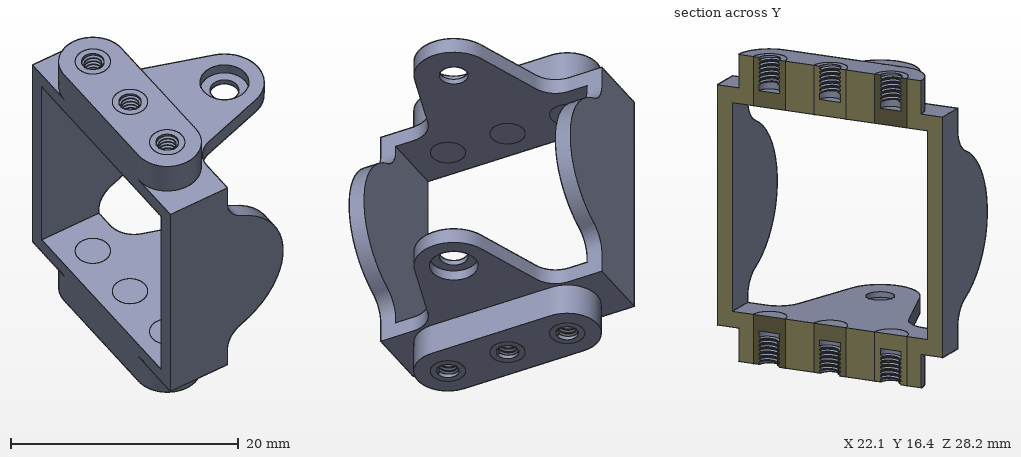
import cadquery as cq
import math


frame_width = 22.1
frame_depth = 6.0
wall = 1.5
opening = frame_width - 2 * wall
half_frame = frame_width / 2

total_height = 28.23
boss_height = (total_height - frame_width) / 2
insert_spacing = 5.95
boss_radius = frame_depth / 2

total_depth = 16.43
ear_radius = 3.5
ear_hole_y = total_depth - ear_radius
ear_base_half_width = insert_spacing
ear_hole_diameter = 2.55
counterbore_diameter = 4.3
counterbore_depth = 1.0
root_fillet = 2.5

cheek_reach = 5.85
cheek_radius = 7.42
cheek_center_y = frame_depth + cheek_reach - cheek_radius

insert_diameter = 3.1
insert_length = boss_height + wall
insert_y = frame_depth / 2
insert_columns = [-insert_spacing, 0, insert_spacing]
bore_depth = boss_height
thread_major_radius = 1.0
thread_minor_radius = 0.8
thread_pitch = 0.4
thread_turns = 6
ridge_embedding = 0.05
ridge_root_radius = thread_major_radius + ridge_embedding
ridge_root_width = 0.37
ridge_crest_width = 0.05


def extrude_along_z(sketch, bottom, height):
    return sketch.extrude(height).translate((0, 0, bottom))


def make_frame():
    return (
        cq.Workplane("XZ")
        .rect(frame_width, frame_width)
        .rect(opening, opening)
        .extrude(-frame_depth)
    )


def make_boss():
    """Rounded bar on the top wall, as deep as the frame and overlapping the wall."""
    outline = (
        cq.Workplane("XY")
        .center(0, insert_y)
        .slot2D(2 * (insert_spacing + boss_radius), 2 * boss_radius)
    )
    return extrude_along_z(outline, half_frame - wall, insert_length)


def make_ear():
    """Tapered ear level with the top wall, with a counterbored hole and filleted roots."""
    reach = ear_hole_y - frame_depth
    corner_distance = math.hypot(ear_base_half_width, reach)
    tangent_angle = math.acos(ear_radius / corner_distance) - math.atan2(reach, ear_base_half_width)
    tangent_x = ear_radius * math.cos(tangent_angle)
    tangent_y = ear_hole_y + ear_radius * math.sin(tangent_angle)

    fillet_offset = root_fillet * math.tan((math.pi / 2 - tangent_angle) / 2)
    fillet_center_x = ear_base_half_width + fillet_offset
    fillet_center_y = frame_depth + root_fillet
    fillet_end_x = fillet_center_x - root_fillet * math.cos(tangent_angle)
    fillet_end_y = fillet_center_y - root_fillet * math.sin(tangent_angle)
    middle_angle = (tangent_angle + math.pi / 2) / 2
    fillet_middle_x = fillet_center_x - root_fillet * math.cos(middle_angle)
    fillet_middle_y = fillet_center_y - root_fillet * math.sin(middle_angle)

    outline = (
        cq.Workplane("XY")
        .moveTo(fillet_center_x, frame_depth)
        .threePointArc((fillet_middle_x, fillet_middle_y), (fillet_end_x, fillet_end_y))
        .lineTo(tangent_x, tangent_y)
        .threePointArc((0, total_depth), (-tangent_x, tangent_y))
        .lineTo(-fillet_end_x, fillet_end_y)
        .threePointArc((-fillet_middle_x, fillet_middle_y), (-fillet_center_x, frame_depth))
        .close()
    )
    ear = extrude_along_z(outline, half_frame - wall, wall)
    return (
        ear.faces(">Z")
        .workplane(origin=(0, ear_hole_y, 0))
        .cboreHole(ear_hole_diameter, counterbore_diameter, counterbore_depth)
    )


def make_cheek():
    """Round cheek behind the +X side wall, with fillets running into the frame."""
    center_rise = frame_depth + root_fillet - cheek_center_y
    center_distance = cheek_radius + root_fillet
    fillet_center_z = math.sqrt(center_distance**2 - center_rise**2)
    fillet_center_y = frame_depth + root_fillet
    joint_angle = math.asin(center_rise / center_distance)
    joint_y = cheek_center_y + cheek_radius * math.sin(joint_angle)
    joint_z = cheek_radius * math.cos(joint_angle)
    middle_angle = (joint_angle + math.pi / 2) / 2
    fillet_middle_y = fillet_center_y - root_fillet * math.sin(middle_angle)
    fillet_middle_z = fillet_center_z - root_fillet * math.cos(middle_angle)

    return (
        cq.Workplane("YZ")
        .moveTo(frame_depth, fillet_center_z)
        .threePointArc((fillet_middle_y, fillet_middle_z), (joint_y, joint_z))
        .threePointArc((frame_depth + cheek_reach, 0), (joint_y, -joint_z))
        .threePointArc((fillet_middle_y, -fillet_middle_z), (frame_depth, -fillet_center_z))
        .close()
        .extrude(wall)
        .translate((half_frame - wall, 0, 0))
    )


def make_insert_pockets():
    """Cylinders that clear the top wall and boss for the inserts."""
    outline = (
        cq.Workplane("XY")
        .pushPoints([(x, insert_y) for x in insert_columns])
        .circle(insert_diameter / 2)
    )
    return extrude_along_z(outline, half_frame - wall, insert_length)


def make_housing():
    top_features = make_boss().union(make_ear())
    cheek = make_cheek()
    pockets = make_insert_pockets()
    return (
        make_frame()
        .union(top_features)
        .union(top_features.mirror("XY"))
        .union(cheek)
        .union(cheek.mirror("YZ"))
        .cut(pockets)
        .cut(pockets.mirror("XY"))
    )


def make_thread_ridge():
    """Left-hand helical ridge, rooted in the bore wall and ending half a pitch below the mouth at Z = 0."""
    thread_length = thread_turns * thread_pitch
    helix = cq.Wire.makeHelix(thread_pitch, thread_length, thread_major_radius, lefthand=True)
    return (
        cq.Workplane("XZ")
        .moveTo(ridge_root_radius, -ridge_root_width / 2)
        .lineTo(thread_minor_radius, -ridge_crest_width / 2)
        .lineTo(thread_minor_radius, ridge_crest_width / 2)
        .lineTo(ridge_root_radius, ridge_root_width / 2)
        .close()
        .sweep(cq.Workplane(helix), isFrenet=True)
        .translate((0, 0, -thread_length - thread_pitch / 2))
    )


def make_insert():
    """Threaded insert with a blind bore, its mouth centred on the origin and its body toward -Z."""
    body = cq.Workplane("XY").circle(insert_diameter / 2).extrude(-insert_length)
    bore = cq.Workplane("XY").circle(thread_major_radius).extrude(-bore_depth)
    return body.cut(bore).union(make_thread_ridge())


housing = make_housing()

insert = make_insert()
inserts = []
for x in insert_columns:
    top_insert = insert.translate((x, insert_y, total_height / 2))
    bottom_insert = top_insert.mirror("XY")
    inserts += [top_insert.solids().val(), bottom_insert.solids().val()]

result = cq.Compound.makeCompound([housing.solids().val(), *inserts])